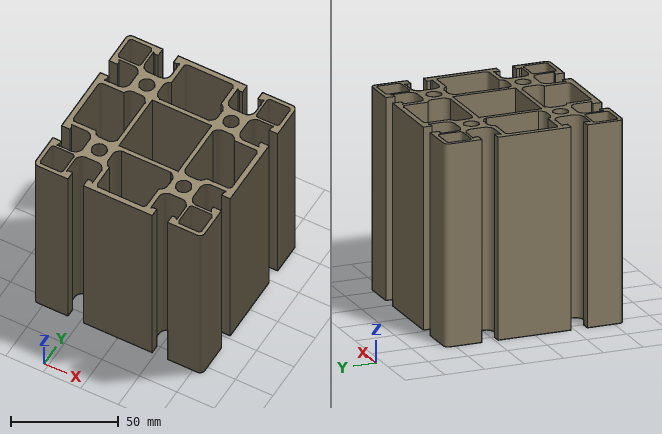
import cadquery as cq

width = 90.0
length = 100.0
outer_radius = 2.5
half_width = width / 2

channel_offset = width / 4
channel_diameter = 7.4

mouth_width = 8.2
lip_depth = 4.5
cavity_width = 14.0
cavity_depth = 15.5
cavity_radius = 4.0
notch_width = 1.2
notch_depth = 0.7

cell_start = 2.0
cell_size = 12.2
cell_radius = 1.5

face_wall = 2.7
narrow_width = 26.3
narrow_radius = 1.8
wide_width = 31.6
wide_radius = 3.8
shoulder_depth = 15.4
core_wall = 2.2

core_size = wide_width


def block(x_size, depth_start, depth_end, x_center=0.0):
    """Full-length cutter running inward from the +Y face between two depths."""
    y_center = half_width - (depth_start + depth_end) / 2
    return (
        cq.Workplane("XY")
        .center(x_center, y_center)
        .rect(x_size, depth_end - depth_start)
        .extrude(length)
    )


def slot_cutter(x_center):
    """T-slot with a rounded floor and a sloped notch at the root of each lip."""
    mouth = block(mouth_width, 0, lip_depth, x_center)
    cavity = block(cavity_width, lip_depth, cavity_depth, x_center)
    cavity = cavity.edges("|Z and <Y").fillet(cavity_radius)
    cutter = mouth.union(cavity)
    for side in (-1, 1):
        wall_x = x_center + side * cavity_width / 2
        lip_y = half_width - lip_depth
        notch = (
            cq.Workplane("XY")
            .moveTo(wall_x, lip_y)
            .lineTo(wall_x, lip_y + notch_depth)
            .lineTo(wall_x - side * notch_width, lip_y)
            .close()
            .extrude(length)
        )
        cutter = cutter.union(notch)
    return cutter


def chamber_cutter():
    """Chamber that widens at rounded shoulders toward the core."""
    floor_depth = half_width - core_size / 2 - core_wall
    narrow = block(narrow_width, face_wall, floor_depth)
    narrow = narrow.edges("|Z and >Y").fillet(narrow_radius)
    wide = block(wide_width, shoulder_depth, floor_depth)
    wide = wide.edges("|Z").fillet(wide_radius)
    return narrow.union(wide)


def cell_cutter():
    """Square cell in the +X +Y corner."""
    cell_center = half_width - cell_start - cell_size / 2
    cell = block(cell_size, cell_start, cell_start + cell_size, cell_center)
    return cell.edges("|Z").fillet(cell_radius)


result = cq.Workplane("XY").rect(width, width).extrude(length)
result = result.edges("|Z").fillet(outer_radius)

result = result.cut(cq.Workplane("XY").rect(core_size, core_size).extrude(length))
channels = (
    cq.Workplane("XY")
    .rect(2 * channel_offset, 2 * channel_offset, forConstruction=True)
    .vertices()
    .circle(channel_diameter / 2)
    .extrude(length)
)
result = result.cut(channels)

side_cutters = [
    slot_cutter(-channel_offset),
    slot_cutter(channel_offset),
    chamber_cutter(),
    cell_cutter(),
]
for angle in (0, 90, 180, 270):
    for cutter in side_cutters:
        result = result.cut(cutter.rotate((0, 0, 0), (0, 0, 1), angle))